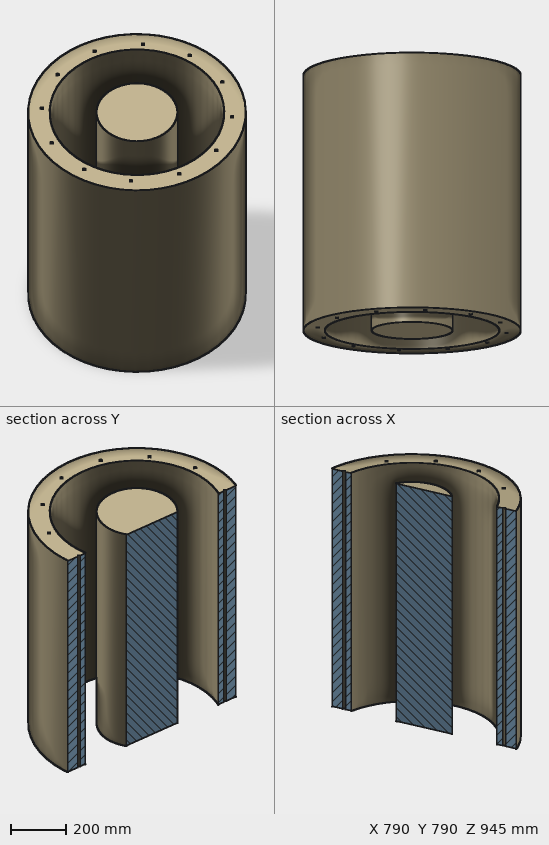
import cadquery as cq
import math

height = 945.0
rim_width = 2.0
recess_depth = 1.0
recess_floors = [0, height - recess_depth]

housing_diameter = 790.0
bore_diameter = 630.0

hole_count = 12
hole_diameter = 10.0
hole_circle_diameter = 690.0
hole_pitch_angle = 360 / hole_count
first_hole_angle = hole_pitch_angle / 2

core_diameter = 295.0


def hole_centres():
    """Hole centres, spaced evenly about Z and straddling the X axis."""
    radius = hole_circle_diameter / 2
    angles = [math.radians(first_hole_angle + i * hole_pitch_angle) for i in range(hole_count)]
    return [(radius * math.cos(a), radius * math.sin(a)) for a in angles]


def make_housing():
    """Tube with holes through it, each end face recessed between a thin outer and a thin inner rim."""
    tube = (
        cq.Workplane("XY")
        .circle(housing_diameter / 2)
        .circle(bore_diameter / 2)
        .extrude(height)
    )
    for floor in recess_floors:
        recess = (
            cq.Workplane("XY")
            .workplane(offset=floor)
            .circle(housing_diameter / 2 - rim_width)
            .circle(bore_diameter / 2 + rim_width)
            .extrude(recess_depth)
        )
        tube = tube.cut(recess)
    holes = (
        cq.Workplane("XY")
        .pushPoints(hole_centres())
        .circle(hole_diameter / 2)
        .extrude(height)
    )
    return tube.cut(holes)


def make_core():
    """Cylinder standing free inside the housing, each end face recessed within a thin rim."""
    cylinder = cq.Workplane("XY").circle(core_diameter / 2).extrude(height)
    for floor in recess_floors:
        recess = (
            cq.Workplane("XY")
            .workplane(offset=floor)
            .circle(core_diameter / 2 - rim_width)
            .extrude(recess_depth)
        )
        cylinder = cylinder.cut(recess)
    return cylinder


housing = make_housing()
core = make_core()

result = cq.Compound.makeCompound([housing.val(), core.val()])